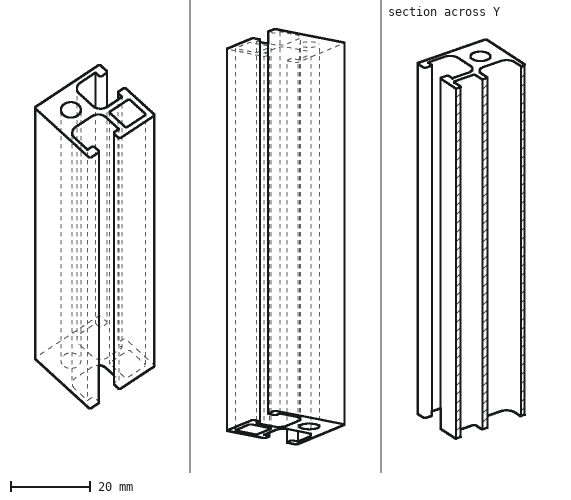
import cadquery as cq

side = 21.5
length = 100.0
edge_radius = 0.5
position_tolerance = 0.001

slot_centre = 6.5
slot_opening = 6.5
lip_thickness = 2.5
slot_depth = 10.0
slot_width = 10.3
slot_floor_radius = 2.5

bore_diameter = 5.0
hollow_side = 6.6
hollow_wall = 1.6
hollow_radius = 0.4


def corner_block(x_min, x_max, y_min, y_max):
    """Full-length block between two opposite corners."""
    return cq.Workplane("XY").box(
        x_max - x_min, y_max - y_min, length, centered=False
    ).translate((x_min, y_min, 0))


opening_low = slot_centre - slot_opening / 2
opening_high = slot_centre + slot_opening / 2
slot_floor = side - slot_depth
lip_inner = side - lip_thickness

body = corner_block(0, side, 0, side)
body = body.cut(corner_block(opening_low, opening_high, lip_inner, side))
body = body.cut(corner_block(lip_inner, side, opening_low, opening_high))

undercut_low = slot_centre - slot_width / 2
undercut_high = slot_centre + slot_width / 2
y_slot = corner_block(undercut_low, undercut_high, slot_floor, lip_inner)
x_slot = corner_block(slot_floor, lip_inner, undercut_low, undercut_high)
body = body.cut(y_slot.faces("<Y").edges("|Z").fillet(slot_floor_radius))
body = body.cut(x_slot.faces("<X").edges("|Z").fillet(slot_floor_radius))

outer_edges = body.faces("<X or >X or <Y or >Y").edges("|Z")
lip_edges = body.edges("|Z").filter(
    lambda edge: any(
        abs(across - lip_inner) < position_tolerance
        and min(abs(along - opening_low), abs(along - opening_high)) < position_tolerance
        for across, along in (
            (edge.Center().x, edge.Center().y),
            (edge.Center().y, edge.Center().x),
        )
    )
)
body = body.newObject(outer_edges.vals() + lip_edges.vals()).fillet(edge_radius)

bore = (
    cq.Workplane("XY").center(slot_centre, slot_centre).circle(bore_diameter / 2).extrude(length)
)

hollow_high = side - hollow_wall
hollow_low = hollow_high - hollow_side
hollow = corner_block(hollow_low, hollow_high, hollow_low, hollow_high)
hollow = hollow.edges("|Z").fillet(hollow_radius)

result = body.cut(bore).cut(hollow)